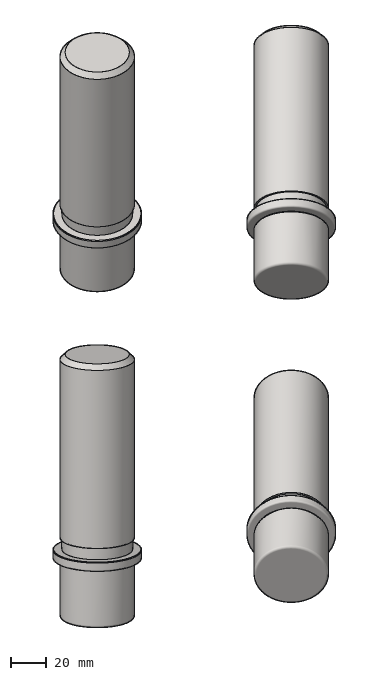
import cadquery as cq
import math

total_height = 155.0
body_diameter = 42.0
neck_diameter = 40.0
collar_diameter = 50.0

collar_bottom = 34.5
collar_thickness = 5.6
neck_top = 47.0

tip_chamfer = 3.0
base_round = 1.4
collar_lower_round = 1.0
collar_upper_chamfer = 0.5

body_radius = body_diameter / 2
neck_radius = neck_diameter / 2
collar_radius = collar_diameter / 2
collar_top = collar_bottom + collar_thickness
shank_bevel = body_radius - neck_radius


def round_outer_corner(outline, outer_radius, bottom, size):
    """Add a convex quarter-circle from a bottom face up to an outer wall."""
    inset = size * (1 - math.sqrt(0.5))
    return (
        outline.lineTo(outer_radius - size, bottom)
        .threePointArc((outer_radius - inset, bottom + inset), (outer_radius, bottom + size))
    )


profile = cq.Workplane("XZ").moveTo(0, 0)

profile = round_outer_corner(profile, body_radius, 0, base_round)
profile = (
    profile.lineTo(body_radius, collar_bottom - shank_bevel)
    .lineTo(neck_radius, collar_bottom)
)

profile = round_outer_corner(profile, collar_radius, collar_bottom, collar_lower_round)
profile = (
    profile.lineTo(collar_radius, collar_top - collar_upper_chamfer)
    .lineTo(collar_radius - collar_upper_chamfer, collar_top)
    .lineTo(neck_radius, collar_top)
)

profile = (
    profile.lineTo(neck_radius, neck_top)
    .lineTo(body_radius, neck_top)
    .lineTo(body_radius, total_height - tip_chamfer)
    .lineTo(body_radius - tip_chamfer, total_height)
    .lineTo(0, total_height)
    .close()
)

result = profile.revolve(360, (0, 0, 0), (0, 1, 0))